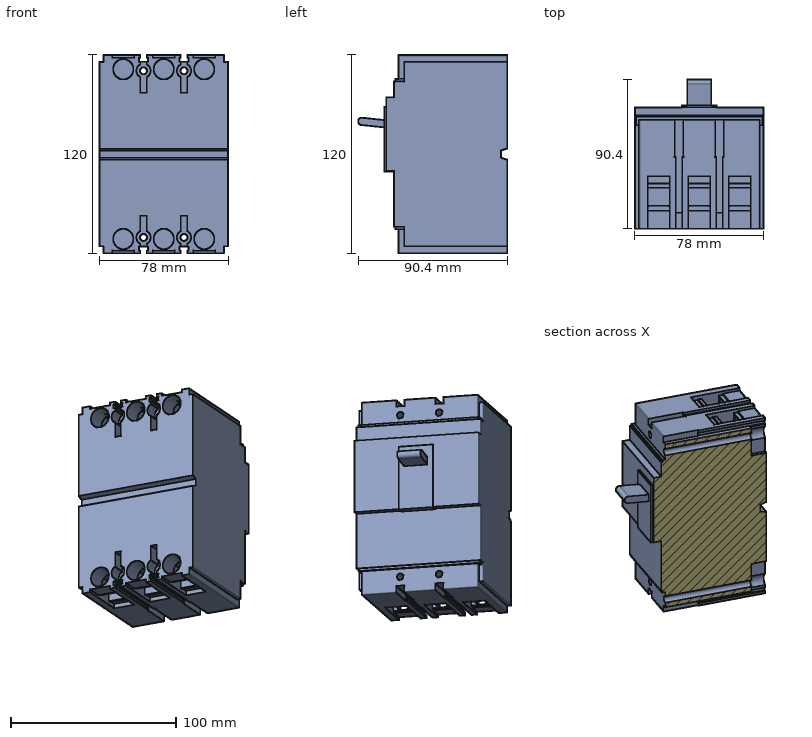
import cadquery as cq

HEIGHT = 120.0
WIDTH = 78.0
DEPTH_TO_TOGGLE_TIP = 90.4
HALF_HEIGHT = HEIGHT / 2

POLE_PITCH = 24.5
POLE_BLOCK_WIDTH = 73.0
POLE_BLOCK_DEPTH = 66.0
POLE_EDGE_RADIUS = 0.4
SHELL_HEIGHT = 111.6
SHELL_DEPTH = 62.5
COVER_HEIGHT = 88.1
COVER_DEPTH = 68.6
RIM_WIDTH = 76.1
RIM_HEIGHT = 91.0
RIM_DEPTH = 67.8
RAISED_TOP = 34.5
RAISED_BOTTOM = -10.1
RAISED_DEPTH = 73.5
SHELL_EDGE_RADIUS = 0.2

PLATE_WIDTH = 21.1
PLATE_TOP = 28.5
PLATE_BOTTOM = -10.5
PLATE_DEPTH = 74.6
TOGGLE_WIDTH = 14.6
TOGGLE_THICKNESS = 4.5
TOGGLE_TIP_Z = 19.8
TOGGLE_TILT = 6.0

RAIL_OPENING = 6.7
RAIL_FLOOR = 4.3
RAIL_DEPTH = 3.8

GROOVE_FLOOR_DROP = 4.1
REAR_GROOVE_WIDTH = 5.2
FRONT_GROOVE_WIDTH = 3.8
FRONT_GROOVE_LENGTH = 43.5
UNDERCUT_WIDTH = 6.0
UNDERCUT_DROP = 1.7

SCREW_Z = 50.4
SCREW_DIAMETER = 4.1
SCREW_RECESS_DIAMETER = 8.6
RECESS_DEPTH = 9.6
RECESS_SLOT_END = 37.2

WINDOW_WIDTH = 13.5
WINDOW_FRONT_DROP = 1.7
WINDOW_LEDGE_DROP = 2.4
WINDOW_REAR_DROP = 2.9
WINDOW_FRONT_END = 11.0
CAVITY_START = 13.8
CAVITY_END = 25.0
WINDOW_LEDGE_END = 27.1
WINDOW_STEP_LENGTH = 0.4
WINDOW_END = 31.8
WIRE_BORE_DIAMETER = 12.2
WIRE_BORE_Z = 51.4


def block(width, y_start, y_end, z_start, z_end, x_center=0.0):
    """Box centred on x_center, between the given Y and Z limits."""
    return (
        cq.Workplane("XY")
        .box(width, y_end - y_start, z_end - z_start, centered=(True, False, False))
        .translate((x_center, y_start, z_start))
    )


def upright_block(width, depth, height):
    """Box standing on the mounting face and centred in X and Z."""
    return block(width, 0, depth, -height / 2, height / 2)


def bore(diameter, depth, x, z):
    """Cylinder running from the mounting face into the body."""
    return (
        cq.Workplane("XZ")
        .center(x, z)
        .circle(diameter / 2)
        .extrude(-depth)
    )


def side_profile(points, width):
    """Outline of (y, z) points extruded across X, centred on x = 0."""
    return cq.Workplane("YZ").polyline(points).close().extrude(width / 2, both=True)


def make_shell():
    shell_top = SHELL_HEIGHT / 2
    cover_top = COVER_HEIGHT / 2
    shell = side_profile(
        [
            (0, -shell_top),
            (SHELL_DEPTH, -shell_top),
            (SHELL_DEPTH, -cover_top),
            (COVER_DEPTH, -cover_top),
            (COVER_DEPTH, RAISED_BOTTOM),
            (RAISED_DEPTH, RAISED_BOTTOM),
            (RAISED_DEPTH, RAISED_TOP),
            (COVER_DEPTH, RAISED_TOP),
            (COVER_DEPTH, cover_top),
            (SHELL_DEPTH, cover_top),
            (SHELL_DEPTH, shell_top),
            (0, shell_top),
        ],
        WIDTH,
    )
    side_edges = shell.faces("<X or >X").edges("not(<Y)")
    return side_edges.fillet(SHELL_EDGE_RADIUS)


def make_pole_block():
    poles = upright_block(POLE_BLOCK_WIDTH, POLE_BLOCK_DEPTH, HEIGHT)
    sides_rounded = poles.edges("|Y").fillet(POLE_EDGE_RADIUS)
    return sides_rounded.edges(">Y").fillet(POLE_EDGE_RADIUS)


def make_rim():
    return upright_block(RIM_WIDTH, RIM_DEPTH, RIM_HEIGHT)


def make_toggle():
    """Flat lever with a rounded tip, tilted upwards in the YZ plane."""
    radius = TOGGLE_THICKNESS / 2
    tip_y = DEPTH_TO_TOGGLE_TIP - radius
    length = tip_y - COVER_DEPTH
    lever = (
        cq.Workplane("YZ")
        .moveTo(-length, -radius)
        .lineTo(0, -radius)
        .threePointArc((radius, 0), (0, radius))
        .lineTo(-length, radius)
        .close()
        .extrude(TOGGLE_WIDTH / 2, both=True)
    )
    return lever.rotate((0, 0, 0), (1, 0, 0), TOGGLE_TILT).translate((0, tip_y, TOGGLE_TIP_Z))


def make_rail_groove():
    return side_profile(
        [
            (0, -RAIL_OPENING / 2),
            (RAIL_DEPTH, -RAIL_FLOOR / 2),
            (RAIL_DEPTH, RAIL_FLOOR / 2),
            (0, RAIL_OPENING / 2),
        ],
        WIDTH,
    )


def make_pole_groove(x):
    """Groove between two poles at the upper end, with its screw hole and recess."""
    floor_z = HALF_HEIGHT - GROOVE_FLOOR_DROP
    undercut_z = HALF_HEIGHT - UNDERCUT_DROP
    rear = block(REAR_GROOVE_WIDTH, FRONT_GROOVE_LENGTH, POLE_BLOCK_DEPTH, floor_z, HALF_HEIGHT, x)
    front = block(FRONT_GROOVE_WIDTH, 0, FRONT_GROOVE_LENGTH, floor_z, HALF_HEIGHT, x)
    undercut = block(UNDERCUT_WIDTH, 0, FRONT_GROOVE_LENGTH, floor_z, undercut_z, x)
    recess_slot = block(FRONT_GROOVE_WIDTH, 0, RECESS_DEPTH, RECESS_SLOT_END, HALF_HEIGHT, x)
    recess = bore(SCREW_RECESS_DIAMETER, RECESS_DEPTH, x, SCREW_Z)
    screw_hole = bore(SCREW_DIAMETER, POLE_BLOCK_DEPTH, x, SCREW_Z)
    return rear.union(front).union(undercut).union(recess_slot).union(recess).union(screw_hole)


def make_terminal(x):
    """Stepped window in the upper end, with the wire bore leading into its cavity."""
    cavity_floor = WIRE_BORE_Z - WIRE_BORE_DIAMETER / 2
    window = (
        cq.Workplane("YZ")
        .polyline(
            [
                (0, HALF_HEIGHT),
                (0, HALF_HEIGHT - WINDOW_FRONT_DROP),
                (WINDOW_FRONT_END, HALF_HEIGHT - WINDOW_FRONT_DROP),
                (WINDOW_FRONT_END, HALF_HEIGHT - WINDOW_LEDGE_DROP),
                (CAVITY_START, HALF_HEIGHT - WINDOW_LEDGE_DROP),
                (CAVITY_START, cavity_floor),
                (CAVITY_END, cavity_floor),
                (CAVITY_END, HALF_HEIGHT - WINDOW_LEDGE_DROP),
                (WINDOW_LEDGE_END, HALF_HEIGHT - WINDOW_LEDGE_DROP),
                (WINDOW_LEDGE_END + WINDOW_STEP_LENGTH, HALF_HEIGHT - WINDOW_REAR_DROP),
                (WINDOW_END, HALF_HEIGHT - WINDOW_REAR_DROP),
                (WINDOW_END, HALF_HEIGHT),
            ]
        )
        .close()
        .extrude(WINDOW_WIDTH / 2, both=True)
        .translate((x, 0, 0))
    )
    return window.union(bore(WIRE_BORE_DIAMETER, CAVITY_END, x, WIRE_BORE_Z))


def cut_at_both_ends(body, cutter):
    """Cut the upper-end cutter and its mirror image at the lower end."""
    return body.cut(cutter).cut(cutter.mirror("XY"))


plate = block(PLATE_WIDTH, COVER_DEPTH, PLATE_DEPTH, PLATE_BOTTOM, PLATE_TOP)

body = make_shell().union(make_pole_block()).union(make_rim())
body = body.union(plate).union(make_toggle())
body = body.cut(make_rail_groove())

for side in (-1, 1):
    body = cut_at_both_ends(body, make_pole_groove(side * POLE_PITCH / 2))

for pole in (-1, 0, 1):
    body = cut_at_both_ends(body, make_terminal(pole * POLE_PITCH))

result = body